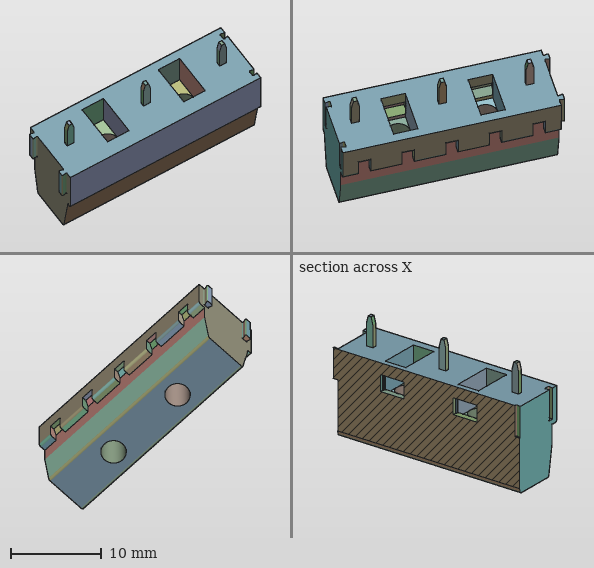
import cadquery as cq
import math

body_length = 25.0
body_width = 8.1
body_height = 10.6
center_x = body_width / 2

left_skirt_z = 6.17
left_step = 0.86
left_taper_z = 3.86
right_skirt_z = 5.05
right_step = 0.5
taper_angle = 9.3
taper_slope = math.tan(math.radians(taper_angle))
left_skirt_radius = 0.3
right_skirt_radius = 0.15
foot_radius = 0.3

pin_count = 3
pin_pitch = 10.0
first_pin_y = (body_length - (pin_count - 1) * pin_pitch) / 2
pin_thickness = 0.55
pin_breadth = 0.9
pin_height = 3.71
pin_tip_breadth = 0.42
pin_tip_height = 0.95

window_left_x = 1.06
window_right_x = 6.25
window_width = 2.8
window_depth = 4.0
hole_diameter = 2.8
hole_x = center_x + 0.05

undercut_drop = 1.5
undercut_height = 2.0
mouth_depth = 0.25
chamber_end_x = 7.5
undercut_side_step = 0.1
mouth_width = window_width + 2 * undercut_side_step
chamber_width = mouth_width + 2 * undercut_side_step
floor_lip = 0.1

notch_count = 5
notch_pitch = 5.0
first_notch_y = (body_length - (notch_count - 1) * notch_pitch) / 2
notch_width = 1.43
notch_top_z = 8.35
notch_back_z = 7.36
notch_roof_depth = 0.5

dovetail_left_x = 1.1
dovetail_right_x = 7.04
dovetail_neck = 0.54
dovetail_tip = 0.8
dovetail_depth = 0.6
dovetail_height = 3.8
dovetail_tip_radius = 0.1
dovetail_root_radius = 0.08


def box(x_range, y_range, z_range):
    """Axis-aligned block given by its limits."""
    lows, highs = zip(x_range, y_range, z_range)
    sizes = [high - low for low, high in zip(lows, highs)]
    return cq.Workplane("XY").box(*sizes, centered=False).translate(lows)


def around(middle, width):
    """Limits of a span of the given width about its middle."""
    return middle - width / 2, middle + width / 2


def fillet_edge(solid, edge_middle, radius):
    """Round the one edge whose middle is at the given point."""
    return solid.edges(cq.selectors.NearestToPointSelector(edge_middle)).fillet(radius)


def make_housing():
    right_wall_x = body_width - right_step
    section = [
        (0, body_height),
        (0, left_skirt_z),
        (left_step, left_skirt_z),
        (left_step, left_taper_z),
        (left_step + left_taper_z * taper_slope, 0),
        (right_wall_x - right_skirt_z * taper_slope, 0),
        (right_wall_x, right_skirt_z),
        (body_width, right_skirt_z),
        (body_width, body_height),
    ]
    housing = cq.Workplane("XZ").polyline(section).close().extrude(-body_length)
    housing = housing.faces("<Z").edges("|Y").fillet(foot_radius)
    housing = fillet_edge(housing, (0, body_length / 2, left_skirt_z), left_skirt_radius)
    return fillet_edge(housing, (body_width, body_length / 2, right_skirt_z), right_skirt_radius)


def make_notch(y):
    """Notch through the -X skirt; its flat roof turns down towards the foot wall."""
    section = [
        (0, 0),
        (0, notch_top_z),
        (notch_roof_depth, notch_top_z),
        (left_step, notch_back_z),
        (left_step, 0),
    ]
    start = (0, y + notch_width / 2, 0)
    return cq.Workplane("XZ", origin=start).polyline(section).close().extrude(notch_width)


def make_window(y):
    """Window with its floor hole and the undercut in its +X wall."""
    floor_z = body_height - window_depth
    undercut_top = body_height - undercut_drop
    undercut_z = (undercut_top - undercut_height, undercut_top)
    mouth_end_x = window_right_x + mouth_depth
    across = around(y, window_width)

    upper = box((window_left_x, window_right_x), across, (undercut_z[0], body_height))
    lower = box((window_left_x, window_right_x - floor_lip), across, (floor_z, body_height))
    mouth = box((window_right_x, mouth_end_x), around(y, mouth_width), undercut_z)
    chamber = box((mouth_end_x, chamber_end_x), around(y, chamber_width), undercut_z)
    hole = cq.Workplane("XY").center(hole_x, y).circle(hole_diameter / 2).extrude(body_height)
    return upper.union(lower).union(mouth).union(chamber).union(hole)


def make_pin(y):
    """Flat pin with a tip narrowed along Y."""
    top_z = body_height + pin_height
    shoulder_z = top_z - pin_tip_height
    outline = [
        (y - pin_breadth / 2, body_height),
        (y - pin_breadth / 2, shoulder_z),
        (y - pin_tip_breadth / 2, top_z),
        (y + pin_tip_breadth / 2, top_z),
        (y + pin_breadth / 2, shoulder_z),
        (y + pin_breadth / 2, body_height),
    ]
    start = (center_x - pin_thickness / 2, 0, 0)
    return cq.Workplane("YZ", origin=start).polyline(outline).close().extrude(pin_thickness)


def make_dovetail(x, y):
    """Dovetail prism with its neck at the given Y, widening towards -Y."""
    outline = [
        (x - dovetail_neck / 2, y),
        (x - dovetail_tip / 2, y - dovetail_depth),
        (x + dovetail_tip / 2, y - dovetail_depth),
        (x + dovetail_neck / 2, y),
    ]
    start = (0, 0, body_height - dovetail_height)
    prism = cq.Workplane("XY", origin=start).polyline(outline).close().extrude(dovetail_height)
    return prism.faces("<Y").edges("|Z").fillet(dovetail_tip_radius)


result = make_housing()

for i in range(notch_count):
    result = result.cut(make_notch(first_notch_y + i * notch_pitch))

for i in range(pin_count - 1):
    result = result.cut(make_window(first_pin_y + (i + 0.5) * pin_pitch))

for i in range(pin_count):
    result = result.union(make_pin(first_pin_y + i * pin_pitch))

for x in (dovetail_left_x, dovetail_right_x):
    result = result.union(make_dovetail(x, 0))
    for root_x in around(x, dovetail_neck):
        root_middle = (root_x, 0, body_height - dovetail_height / 2)
        result = fillet_edge(result, root_middle, dovetail_root_radius)
    result = result.cut(make_dovetail(x, body_length))